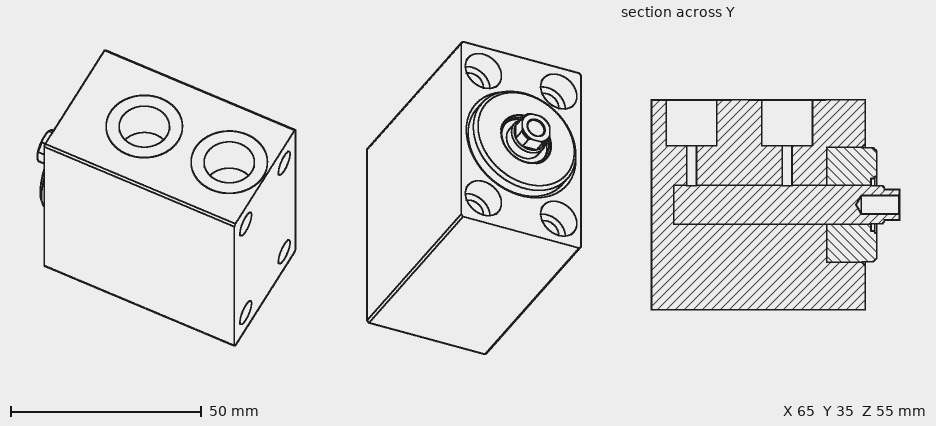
import cadquery as cq
import math


overall_length = 65.0
block_length = 56.0
block_width = 35.0
block_height = 55.0
edge_chamfer = 0.6

bolt_spacing_y = 22.0
bolt_spacing_z = 40.0
bolt_hole_diameter = 6.6
counterbore_diameter = 10.5
counterbore_depth = 6.8

first_port_x = 20.5
port_pitch = 25.0
port_count = 2
port_diameter = 13.2
port_depth = 12.0
spot_face_diameter = 20.0
spot_face_depth = 0.1
feed_diameter = 2.5

gland_diameter = 29.9
gland_protrusion = 3.0
gland_chamfer = 0.9
gland_seat_depth = 10.0
seat_chamfer = 1.05
recess_diameter = 13.65
recess_depth = 1.5
recess_rim_diameter = 14.7
recess_rim_depth = 0.5

rod_diameter = 10.0
rod_chamfer = 0.5
shoulder_protrusion = 2.0
tip_across_flats = 8.0
tip_chamfer = 0.3
tip_hole_diameter = 4.8
tip_hole_chamfer = 0.2
tip_hole_depth = 10.0
drill_point_angle = 120
rod_end_margin = 6.0

tip_x = block_length - overall_length
gland_front_x = -gland_protrusion
shoulder_x = gland_front_x - shoulder_protrusion
rod_end_x = block_length - rod_end_margin

rod_radius = rod_diameter / 2
tip_radius = rod_radius - rod_chamfer
gland_radius = gland_diameter / 2
seat_radius = gland_radius + seat_chamfer
port_positions = [(first_port_x + i * port_pitch, 0) for i in range(port_count)]


def turned(profile):
    """Solid of revolution about the X axis from (x, radius) points."""
    return cq.Workplane("XZ").polyline(profile).close().revolve(360, (0, 0, 0), (1, 0, 0))


def top_drilling(diameter, bottom_z):
    """Cylinders at both port positions, from the top face down to bottom_z."""
    return (
        cq.Workplane("XY", origin=(0, 0, bottom_z))
        .pushPoints(port_positions)
        .circle(diameter / 2)
        .extrude(block_height / 2 - bottom_z)
    )


def make_block():
    body = (
        cq.Workplane("XY")
        .box(block_length, block_width, block_height, centered=(False, True, True))
        .edges("|X")
        .chamfer(edge_chamfer)
    )

    body = (
        body.faces("<X")
        .workplane(origin=(0, 0, 0))
        .rarray(bolt_spacing_y, bolt_spacing_z, 2, 2)
        .cboreHole(bolt_hole_diameter, counterbore_diameter, counterbore_depth)
    )

    top_z = block_height / 2
    body = body.cut(top_drilling(spot_face_diameter, top_z - spot_face_depth))
    body = body.cut(top_drilling(port_diameter, top_z - port_depth))
    body = body.cut(top_drilling(feed_diameter, 0))

    bore = turned([
        (0, 0),
        (0, seat_radius),
        (seat_chamfer, gland_radius),
        (gland_seat_depth, gland_radius),
        (gland_seat_depth, rod_radius),
        (rod_end_x, rod_radius),
        (rod_end_x, 0),
    ])
    return body.cut(bore)


def make_gland():
    recess_radius = recess_diameter / 2
    recess_rim_radius = recess_rim_diameter / 2
    return turned([
        (gland_front_x, recess_rim_radius),
        (gland_front_x, gland_radius - gland_chamfer),
        (gland_front_x + gland_chamfer, gland_radius),
        (gland_seat_depth, gland_radius),
        (gland_seat_depth, rod_radius),
        (gland_front_x + recess_depth, rod_radius),
        (gland_front_x + recess_depth, recess_radius),
        (gland_front_x + recess_rim_depth, recess_radius),
        (gland_front_x + recess_rim_depth, recess_rim_radius),
    ])


def make_rod():
    shaft = turned([
        (shoulder_x, 0),
        (shoulder_x, tip_radius),
        (shoulder_x + rod_chamfer, rod_radius),
        (rod_end_x, rod_radius),
        (rod_end_x, 0),
    ])

    tip = turned([
        (tip_x, 0),
        (tip_x, tip_radius - tip_chamfer),
        (tip_x + tip_chamfer, tip_radius),
        (shoulder_x, tip_radius),
        (shoulder_x, 0),
    ])
    flats = cq.Workplane("YZ", origin=(tip_x, 0, 0)).rect(tip_across_flats, tip_across_flats)
    tip = tip.intersect(flats.extrude(shoulder_x - tip_x))

    tip_hole_radius = tip_hole_diameter / 2
    cone_depth = tip_hole_radius / math.tan(math.radians(drill_point_angle / 2))
    tip_hole = turned([
        (tip_x, 0),
        (tip_x, tip_hole_radius + tip_hole_chamfer),
        (tip_x + tip_hole_chamfer, tip_hole_radius),
        (tip_x + tip_hole_depth, tip_hole_radius),
        (tip_x + tip_hole_depth + cone_depth, 0),
    ])
    return shaft.union(tip).cut(tip_hole)


block = make_block()
gland = make_gland()
rod = make_rod()

result = cq.Compound.makeCompound([block.val(), gland.val(), rod.val()])